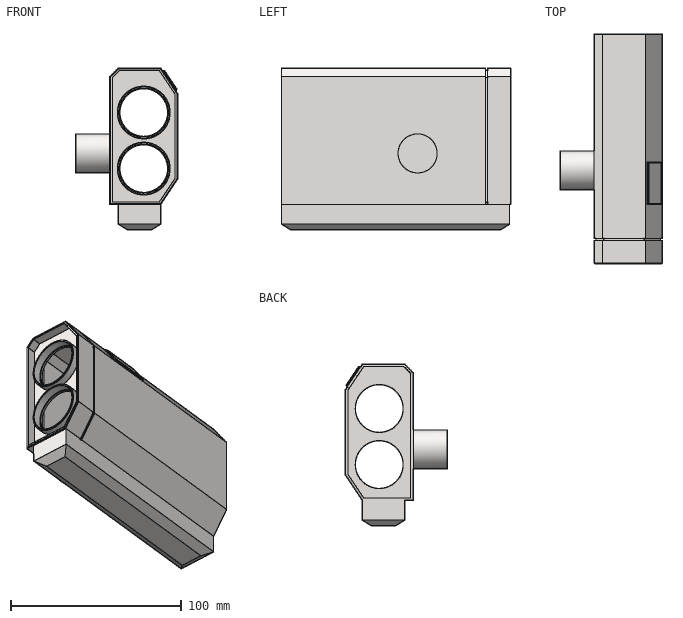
import cadquery as cq
import math

width = 40.0
length = 135.0
height = 80.0
left_bevel = 5.0
right_bevel_x = 10.0
right_bevel_z = 15.0
wall = 1.5
edge_bevel = 0.4

recess_depth = 5.5
partition_thickness = 1.5
groove_start = 13.8
groove_width = 1.2
groove_depth = 1.0

lens_heights = (21.0, 54.0)
barrel_diameter = 31.0
seat_diameter = 29.0
lens_diameter = 28.0
barrel_projection = 4.9
barrel_bevel = 0.3
lip_thickness = 1.2

knob_diameter = 23.0
knob_length = 20.0
knob_y = 55.0
knob_z = 30.0

rail_width = 25.0
rail_front = 0.8
rail_height = 15.0
rail_bevel_height = 3.4
rail_bevel_inset = 5.4

plate_front = 35.0
plate_length = 25.0
plate_width = 14.0
plate_thickness = 1.1
plate_bevel = 0.5


def on_front(y):
    """Sketch plane facing the front at depth y; extruding goes toward the back."""
    return cq.Workplane(cq.Plane(origin=(0, y, 0), xDir=(1, 0, 0), normal=(0, -1, 0)))


def housing_outline(y, inset=0.0):
    """Closed housing outline, optionally moved inward."""
    outline = on_front(y).polyline([
        (0, 0),
        (width - right_bevel_x, 0),
        (width, right_bevel_z),
        (width, height - right_bevel_z),
        (width - right_bevel_x, height),
        (left_bevel, height),
        (0, height - left_bevel),
    ]).close()
    return outline.offset2D(-inset, "intersection") if inset else outline


def housing_prism(start, end, inset=0.0):
    return housing_outline(start, inset).extrude(start - end)


def lens_cylinder(z, diameter, start, end):
    return on_front(start).center(width / 2, z).circle(diameter / 2).extrude(start - end)


def make_shell():
    """Housing with a front recess, a partition and an open-backed cavity."""
    shell = housing_prism(0, length).faces("<Y").chamfer(edge_bevel)
    shell = shell.cut(housing_prism(0, recess_depth, wall))
    shell = shell.cut(housing_prism(recess_depth + partition_thickness, length, wall))
    groove_end = groove_start + groove_width
    groove = housing_prism(groove_start, groove_end)
    groove = groove.cut(housing_prism(groove_start, groove_end, groove_depth))
    return shell.cut(groove)


def add_lens_barrel(body, z):
    """Projecting barrel whose bore narrows to a lip at the back of the partition."""
    rim = recess_depth - barrel_projection
    back = recess_depth + partition_thickness
    barrel = lens_cylinder(z, barrel_diameter, rim, back).faces("<Y").edges().chamfer(barrel_bevel)
    body = body.union(barrel)
    body = body.cut(lens_cylinder(z, seat_diameter, rim, back - lip_thickness))
    return body.cut(lens_cylinder(z, lens_diameter, rim, back))


def make_knob():
    return (
        cq.Workplane("YZ", origin=(-knob_length, 0, 0))
        .center(knob_y, knob_z)
        .circle(knob_diameter / 2)
        .extrude(knob_length + wall / 2)
    )


def make_rail():
    """Rail under the housing, tapering inward on all sides at its lower end."""
    rail_length = length - rail_front
    center = (left_bevel + rail_width / 2, rail_front + rail_length / 2)
    straight_height = rail_height - rail_bevel_height
    taper = math.degrees(math.atan2(rail_bevel_inset, rail_bevel_height))
    rail = cq.Workplane("XY").center(*center).rect(rail_width, rail_length).extrude(-straight_height)
    tip = (
        cq.Workplane("XY", origin=(0, 0, -straight_height))
        .center(*center)
        .rect(rail_width, rail_length)
        .extrude(-rail_bevel_height, taper=taper)
    )
    return rail.union(tip)


def make_plate():
    """Bevelled cover plate centred across the sloping face."""
    slope_center = (
        width - right_bevel_x / 2,
        plate_front + plate_length / 2,
        height - right_bevel_z / 2,
    )
    slope = cq.Plane(origin=slope_center, xDir=(0, 1, 0), normal=(right_bevel_z, 0, right_bevel_x))
    plate = cq.Workplane(slope).rect(plate_length, plate_width).extrude(plate_thickness)
    return plate.faces(cq.selectors.DirectionMinMaxSelector(slope.zDir, True)).chamfer(plate_bevel)


result = make_shell()
for lens_z in lens_heights:
    result = add_lens_barrel(result, lens_z)
result = result.union(make_knob()).union(make_rail()).union(make_plate())